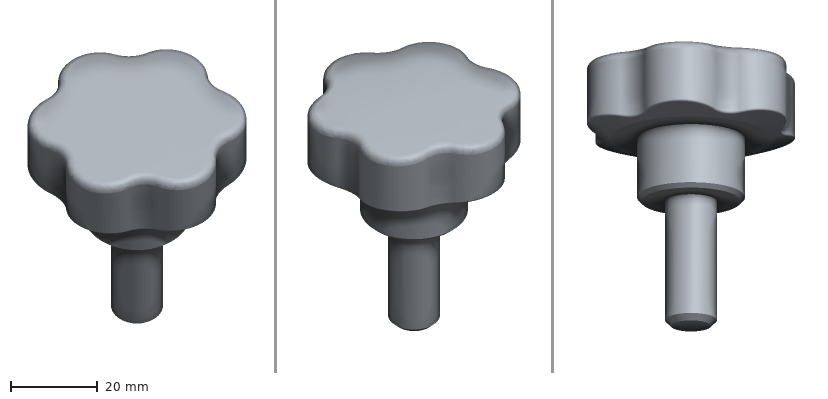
import cadquery as cq
import math

total_height = 62.95
head_height = 18.0
hub_height = 15.0
head_bottom = total_height - head_height
hub_bottom = head_bottom - hub_height

lobe_count = 6
lobe_centre_radius = 16.0
head_diameter = 50.7
head_radius = head_diameter / 2
lobe_radius = head_radius - lobe_centre_radius
dome_drop = 1.5
top_fillet = 2.0
underside_flat_radius = 18.75
underside_rise = 2.0
underside_fillet = 0.5
seam_angle = 90

hub_diameter = 25.0
hub_chamfer = 1.0
stud_diameter = 12.0
stud_chamfer = 1.4


def polar_point(radius, angle):
    return (radius * math.cos(angle), radius * math.sin(angle))


def lobed_prism():
    """Six convex lobes joined by tangent concave arcs, with a lobe on +Y."""
    pitch = 2 * math.pi / lobe_count
    valley_centre_radius = 2 * lobe_centre_radius * math.cos(pitch / 2)
    valley_radius = lobe_centre_radius - lobe_radius
    waist_radius = valley_centre_radius - valley_radius
    tangent_x = lobe_centre_radius + lobe_radius * math.cos(pitch)
    tangent_y = lobe_radius * math.sin(pitch)
    tangent_radius = math.hypot(tangent_x, tangent_y)
    tangent_angle = math.atan2(tangent_y, tangent_x)

    outline = cq.Workplane("XY").moveTo(*polar_point(tangent_radius, math.pi / 2 - tangent_angle))
    for lobe in range(lobe_count):
        axis = math.pi / 2 + lobe * pitch
        outline = outline.threePointArc(
            polar_point(head_radius, axis),
            polar_point(tangent_radius, axis + tangent_angle),
        )
        outline = outline.threePointArc(
            polar_point(waist_radius, axis + pitch / 2),
            polar_point(tangent_radius, axis + pitch - tangent_angle),
        )
    return outline.close().extrude(total_height)


def head_envelope():
    """Turned blank with a spherical top and a conical underside."""
    blank_radius = head_radius * 1.2
    cone_slope = underside_rise / (head_radius - underside_flat_radius)
    cone_top = head_bottom + cone_slope * (blank_radius - underside_flat_radius)
    dome_radius = (head_radius**2 + dome_drop**2) / (2 * dome_drop)

    def dome_height(radius):
        return total_height - dome_radius + math.sqrt(dome_radius**2 - radius**2)

    return (
        cq.Workplane("XZ")
        .moveTo(0, head_bottom)
        .lineTo(underside_flat_radius, head_bottom)
        .lineTo(blank_radius, cone_top)
        .lineTo(blank_radius, dome_height(blank_radius))
        .threePointArc((blank_radius / 2, dome_height(blank_radius / 2)), (0, total_height))
        .close()
        .revolve(360, (0, 0), (0, 1))
        .rotate((0, 0, 0), (0, 0, 1), seam_angle)
    )


def make_head():
    head = lobed_prism().intersect(head_envelope())
    head = head.faces(">Z").edges("not %CIRCLE").fillet(top_fillet)
    return head.faces("%CONE").edges("not %CIRCLE").fillet(underside_fillet)


def chamfered_cylinder(diameter, bottom, top, chamfer):
    """Vertical cylinder with its lower rim chamfered."""
    cylinder = cq.Workplane("XY").workplane(offset=bottom).circle(diameter / 2).extrude(top - bottom)
    return cylinder.faces("<Z").chamfer(chamfer)


hub = chamfered_cylinder(hub_diameter, hub_bottom, head_bottom, hub_chamfer)
stud = chamfered_cylinder(stud_diameter, 0, hub_bottom, stud_chamfer)

result = make_head().union(hub).union(stud)